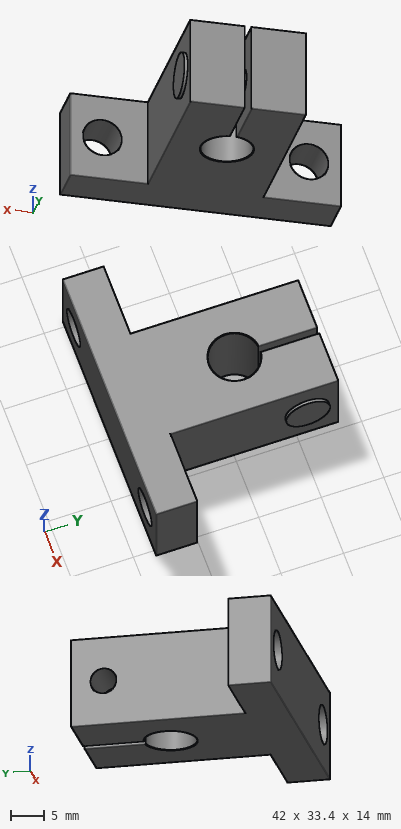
import cadquery as cq

base_width = 42.0
base_thickness = 6.6
total_height = 33.4
depth = 14.0
stem_width = 17.98

bore_diameter = 8.0
bore_height = 20.0
slot_width = 1.0

mount_hole_diameter = 6.0
mount_hole_spacing = 32.0

screw_hole_diameter = 4.0
screw_end_distance = 5.0
screw_head_diameter = 7.0
screw_head_thickness = 0.5
screw_height = total_height - screw_end_distance

edge_radius = 0.1


def make_body():
    """T-shaped block with the underside of its base on Y = 0 and centred on X and Z."""
    base = cq.Workplane("XY").box(base_width, base_thickness, depth, centered=(True, False, True))
    stem = cq.Workplane("XY").box(stem_width, total_height, depth, centered=(True, False, True))
    return base.union(stem)


def make_shaft_clamp_cut():
    """Shaft bore joined to the slot that splits the stem into two arms."""
    slot_length = total_height - bore_height
    bore = cq.Workplane("XY").center(0, bore_height).circle(bore_diameter / 2).extrude(depth / 2, both=True)
    slot = (
        cq.Workplane("XY")
        .center(0, bore_height + slot_length / 2)
        .rect(slot_width, slot_length)
        .extrude(depth / 2, both=True)
    )
    return bore.union(slot)


def make_mount_holes():
    """Pair of plain holes through the thickness of the base."""
    return (
        cq.Workplane("XZ")
        .rarray(mount_hole_spacing, 0.4, 2, 1)
        .circle(mount_hole_diameter / 2)
        .extrude(-base_thickness)
    )


def make_cross_cylinder(diameter, start_x, length):
    """Cylinder along +X on the axis of the clamp screw."""
    return cq.Workplane("YZ", origin=(start_x, screw_height, 0)).circle(diameter / 2).extrude(length)


screw_hole = make_cross_cylinder(screw_hole_diameter, -stem_width / 2, stem_width / 2)
screw_head = make_cross_cylinder(screw_head_diameter, stem_width / 2, screw_head_thickness)

clamp = make_body().cut(make_shaft_clamp_cut())
clamp = clamp.faces("<X or >X").edges("|Z").fillet(edge_radius)
clamp = clamp.faces("<Z or >Z").edges().fillet(edge_radius)

result = clamp.cut(make_mount_holes()).cut(screw_hole).union(screw_head)